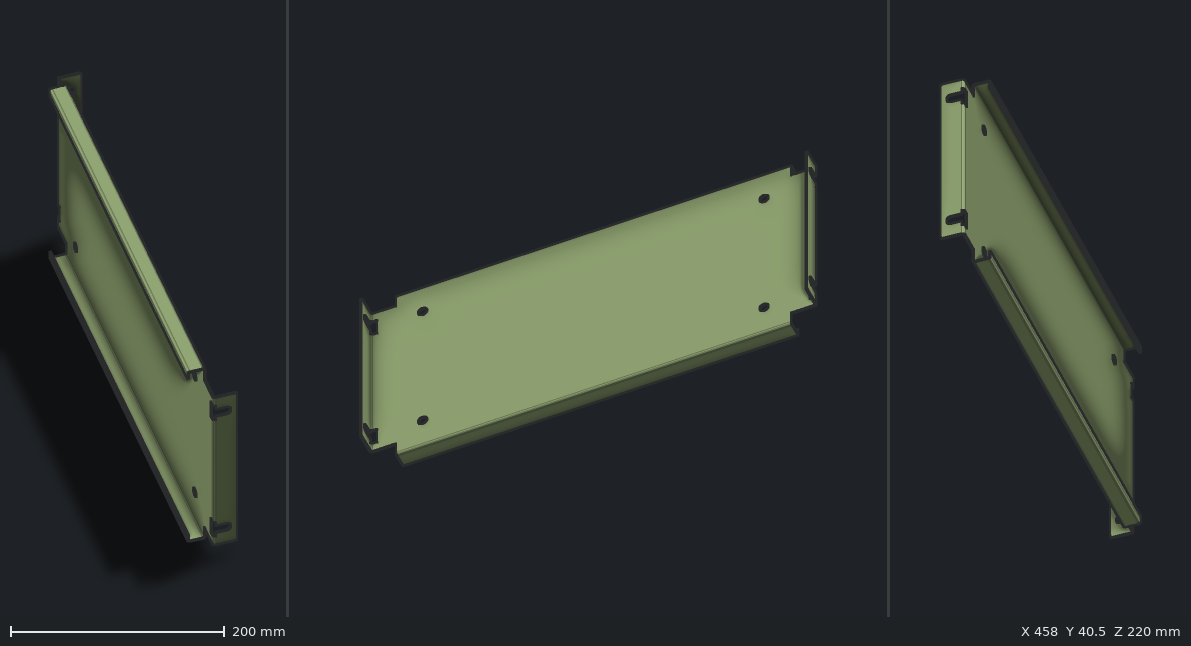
import cadquery as cq

LENGTH = 458.0
DEPTH = 40.5
HEIGHT = 220.0

THICKNESS = 1.5
BEND_OUTER = 2.7
BEND_INNER = BEND_OUTER - THICKNESS

CHANNEL_LENGTH = 405.0
LIP_HEIGHT = 8.5

FLANGE_HEIGHT = 190.0
FLANGE_DEPTH = 24.0
FLANGE_CORNER = 2.5

HOLE_DIAMETER = 9.0
HOLE_X = 175.0
HOLE_Z = 75.0

SLOT_WIDTH = 9.0
SLOT_END_MARGIN = 6.0
WINDOW_HEIGHT = 18.0
WINDOW_LENGTH = 7.5

BACK = DEPTH / 2
FRONT = -DEPTH / 2
WEB_FRONT = BACK - FLANGE_DEPTH
WEB_BACK = WEB_FRONT + THICKNESS


def box(x_range, y_range, z_range):
    """Box between the given limits on each axis."""
    size = [high - low for low, high in (x_range, y_range, z_range)]
    corner = (x_range[0], y_range[0], z_range[0])
    return cq.Workplane("XY").box(*size, centered=False).translate(corner)


def bent_strip(plane, outline, outer_bends, inner_bends, width):
    """Closed sheet profile extruded symmetrically, with rounded bends.

    Bends are the (u, v) profile corners on the outside and inside of each fold.
    """
    strip = cq.Workplane(plane).polyline(outline).close().extrude(width / 2, both=True)
    for bends, radius in ((outer_bends, BEND_OUTER), (inner_bends, BEND_INNER)):
        for u, v in bends:
            point = cq.Plane.named(plane).toWorldCoords((u, v))
            nearest = cq.selectors.NearestToPointSelector(point.toTuple())
            strip = strip.edges(nearest).fillet(radius)
    return strip


def make_channel_section():
    """Web with the top and bottom channels (profile in Y, Z)."""
    top = HEIGHT / 2
    inner_top = top - THICKNESS
    lip_end = top - LIP_HEIGHT
    lip_back = FRONT + THICKNESS
    upper = [
        (WEB_BACK, top),
        (FRONT, top),
        (FRONT, lip_end),
        (lip_back, lip_end),
        (lip_back, inner_top),
        (WEB_FRONT, inner_top),
    ]
    lower = [(y, -z) for y, z in reversed(upper)]
    outer_bends = [(y, side * top) for y in (WEB_BACK, FRONT) for side in (-1, 1)]
    inner_bends = [(y, side * inner_top) for y in (WEB_FRONT, lip_back) for side in (-1, 1)]
    return bent_strip("YZ", upper + lower, outer_bends, inner_bends, CHANNEL_LENGTH)


def make_flange_section():
    """Web with the two end flanges (profile in X, Y)."""
    end = LENGTH / 2
    inner_end = end - THICKNESS
    outline = [
        (-end, BACK),
        (-end, WEB_FRONT),
        (end, WEB_FRONT),
        (end, BACK),
        (inner_end, BACK),
        (inner_end, WEB_BACK),
        (-inner_end, WEB_BACK),
        (-inner_end, BACK),
    ]
    outer_bends = [(side * end, WEB_FRONT) for side in (-1, 1)]
    inner_bends = [(side * inner_end, WEB_BACK) for side in (-1, 1)]
    section = bent_strip("XY", outline, outer_bends, inner_bends, FLANGE_HEIGHT)
    return section.edges("|X and >Y").edges("<Z or >Z").fillet(FLANGE_CORNER)


def make_holes():
    """Four round holes through the web."""
    return (
        cq.Workplane("XZ")
        .rect(2 * HOLE_X, 2 * HOLE_Z, forConstruction=True)
        .vertices()
        .circle(HOLE_DIAMETER / 2)
        .extrude(DEPTH, both=True)
    )


def make_slots():
    """Round-ended slots through both end flanges, running forward to the bend."""
    radius = SLOT_WIDTH / 2
    centre_y = BACK - SLOT_END_MARGIN - radius
    slots = cq.Workplane("YZ")
    for z in (-HOLE_Z, HOLE_Z):
        slots = (
            slots.moveTo(WEB_FRONT, z - radius)
            .lineTo(centre_y, z - radius)
            .threePointArc((centre_y + radius, z), (centre_y, z + radius))
            .lineTo(WEB_FRONT, z + radius)
            .close()
        )
    slots = slots.extrude(LENGTH / 2, both=True)
    web_zone = LENGTH / 2 - WINDOW_LENGTH
    return slots.cut(box((-web_zone, web_zone), (FRONT, BACK), (-HEIGHT / 2, HEIGHT / 2)))


def make_window(side, z):
    """Relief window that removes the bend and a strip of web around a slot."""
    x_range = sorted((side * LENGTH / 2, side * (LENGTH / 2 - WINDOW_LENGTH)))
    y_range = (WEB_FRONT, WEB_FRONT + BEND_OUTER)
    z_range = (z - WINDOW_HEIGHT / 2, z + WINDOW_HEIGHT / 2)
    return box(x_range, y_range, z_range)


result = make_channel_section().union(make_flange_section())
result = result.cut(make_holes()).cut(make_slots())
for end_side in (-1, 1):
    for window_z in (-HOLE_Z, HOLE_Z):
        result = result.cut(make_window(end_side, window_z))